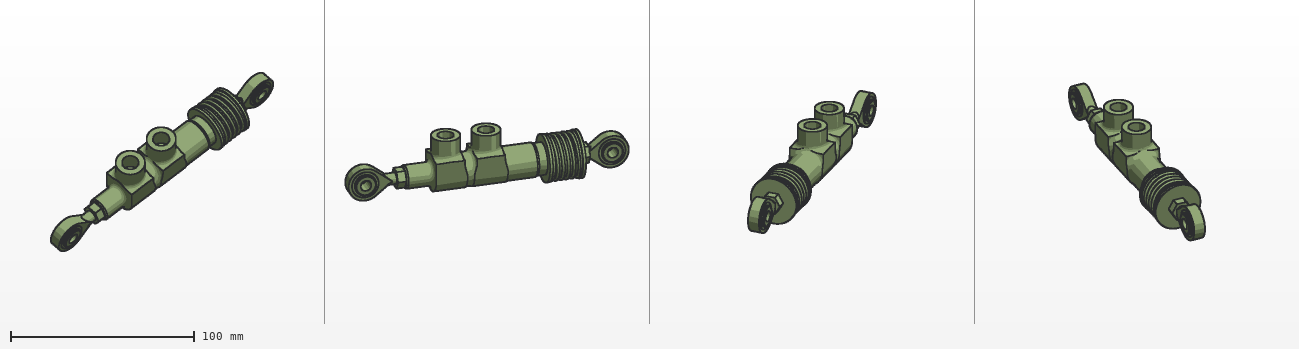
import cadquery as cq
import math


EYE_SPACING = 140.53
EYE_RADIUS = 9.5
EYE_THICKNESS = 6.5
EYE_HOLE_DIAMETER = 6.0
FLANK_HALF_ANGLE = 38.0
BALL_RADIUS = 6.0
BALL_WIDTH = 9.2
BALL_CHAMFER = 0.55
RACE_RADIUS = 7.6
RACE_RECESS = 0.2
SHANK_DIAMETER = 6.5

NUT_ACROSS_FLATS = 10.0
NUT_CORNERS = NUT_ACROSS_FLATS / math.cos(math.radians(30))
NUT_LENGTH = 4.8
FRONT_NUT_START = 17.9
EYE_TO_REAR_NUT = 13.15
REAR_NUT_END = EYE_SPACING - EYE_TO_REAR_NUT

ROD_SEAT_RADIUS = 13.5
HOUSING_SEAT_RADIUS = 13.4
SEAT_THICKNESS = 1.7
ROD_SEAT_END = REAR_NUT_END - NUT_LENGTH
ROD_SEAT_FACE = ROD_SEAT_END - SEAT_THICKNESS
ROD_RADIUS = 5.0
ROD_TIP = 90.0

WIRE_RADIUS = 0.85
END_WIRE_RADIUS = 0.9
COIL_RADIUS = 12.3
COIL_TURNS = 5
SPRING_LENGTH = 17.1
COIL_HEIGHT = SPRING_LENGTH - 2 * END_WIRE_RADIUS
FIRST_COIL_Y = ROD_SEAT_FACE - END_WIRE_RADIUS

SLEEVE_RADIUS = 11.0
SLEEVE_GAP = 3.4
SLEEVE_END = ROD_SEAT_FACE - SLEEVE_GAP
HOUSING_SEAT_FACE = ROD_SEAT_FACE - SPRING_LENGTH
NECK_RADIUS = 9.0
NECK_START = 97.4
BARREL_RADIUS = 9.6
BARREL_CHAMFER = 1.2
BLOCK_HALF_WIDTH = 10.0
BLEND_RADIUS = 3.0
BLEND_MIDPOINT = BLEND_RADIUS * (1 - math.sqrt(0.5))
FRONT_PORT_Y = 46.7
PORT_SPACING = 23.0
PORT_RADIUS = 8.0
PORT_TOP = 22.0
PORT_BORE_DIAMETER = 9.0
PORT_BORE_DEPTH = 10.0
FRONT_FACE_MARGIN = 0.3
FRONT_FACE = FRONT_PORT_Y - PORT_RADIUS - FRONT_FACE_MARGIN
NOSE_RADIUS = 6.6
NOSE_CHAMFER = 1.0
NOSE_END = FRONT_NUT_START + NUT_LENGTH
CLEAR_RADIUS = 30.0

PORT_YS = [FRONT_PORT_Y, FRONT_PORT_Y + PORT_SPACING]


def turned(radius, y_from, y_to):
    """Plain cylinder on the Y axis."""
    return cq.Workplane("XZ", origin=(0, y_to, 0)).circle(radius).extrude(y_to - y_from)


def lock_nut(y_from):
    """Hexagon with corners pointing along X and flats facing up and down."""
    plane = cq.Workplane("XZ", origin=(0, y_from + NUT_LENGTH, 0))
    return plane.polygon(6, NUT_CORNERS).extrude(NUT_LENGTH)


def cross_disc(radius, width):
    """Disc on the X axis, centred on the origin."""
    return cq.Workplane("YZ").circle(radius).extrude(width / 2, both=True)


def rod_eye():
    """Eye at the origin whose tapered flanks meet in a point on the +Y side."""
    flank = math.radians(FLANK_HALF_ANGLE)
    apex_y = EYE_RADIUS / math.sin(flank)
    tangent_y = EYE_RADIUS * math.sin(flank)
    tangent_z = EYE_RADIUS * math.cos(flank)
    eye = (
        cq.Workplane("YZ")
        .moveTo(apex_y, 0)
        .lineTo(tangent_y, tangent_z)
        .threePointArc((-EYE_RADIUS, 0), (tangent_y, -tangent_z))
        .close()
        .extrude(EYE_THICKNESS / 2, both=True)
    )
    race = cross_disc(RACE_RADIUS, EYE_THICKNESS)
    race_core = cross_disc(RACE_RADIUS, EYE_THICKNESS - 2 * RACE_RECESS)
    ball = cross_disc(BALL_RADIUS, BALL_WIDTH).faces("<X or >X").chamfer(BALL_CHAMFER)
    return eye.cut(race).union(race_core).union(ball)


def eye_hole():
    return cross_disc(EYE_HOLE_DIAMETER / 2, 2 * BALL_WIDTH)


def build_push_rod():
    """Rear eye, lock nut, spring seat and the rod that slides in the housing."""
    eye = rod_eye().rotate((0, 0, 0), (0, 0, 1), 180).translate((0, EYE_SPACING, 0))
    rod = turned(ROD_RADIUS, ROD_TIP, ROD_SEAT_FACE)
    seat = turned(ROD_SEAT_RADIUS, ROD_SEAT_FACE, ROD_SEAT_END)
    shank = turned(SHANK_DIAMETER / 2, ROD_SEAT_END, EYE_SPACING - EYE_RADIUS)
    rod = rod.union(seat).union(lock_nut(ROD_SEAT_END)).union(shank).union(eye)
    return rod.cut(eye_hole().translate((0, EYE_SPACING, 0)))


def closed_coil(y):
    """Flat end turn that seats the spring."""
    wire = cq.Workplane("XY").center(COIL_RADIUS, y).circle(END_WIRE_RADIUS)
    return wire.revolve(360, (-COIL_RADIUS, 0, 0), (-COIL_RADIUS, 1, 0))


def build_spring():
    """Round wire coil with closed ends, standing between the two spring seats."""
    path = cq.Wire.makeHelix(COIL_HEIGHT / COIL_TURNS, COIL_HEIGHT, COIL_RADIUS)
    coil = (
        cq.Workplane("XZ", origin=(COIL_RADIUS, 0, 0))
        .circle(WIRE_RADIUS)
        .sweep(cq.Workplane(obj=path), isFrenet=True)
    )
    coil = coil.rotate((0, 0, 0), (1, 0, 0), 90).rotate((0, 0, 0), (0, 1, 0), 90)
    spring = coil.translate((0, FIRST_COIL_Y, 0))
    for y in (FIRST_COIL_Y, FIRST_COIL_Y - COIL_HEIGHT):
        spring = spring.union(closed_coil(y))
    return spring


def turned_envelope():
    """Revolved limit of the housing: barrel, nose and blends, open at the two blocks."""
    blend_top = BARREL_RADIUS + BLEND_RADIUS
    rear_front = PORT_YS[1] - PORT_RADIUS
    rear_back = PORT_YS[1] + PORT_RADIUS
    front_back = PORT_YS[0] + PORT_RADIUS
    nose_blend = NOSE_RADIUS + BLEND_RADIUS

    def blend_middle(face_y, away):
        """Middle of the arc between barrel and block face; `away` points off the block."""
        return (BARREL_RADIUS + BLEND_MIDPOINT, face_y + away * BLEND_MIDPOINT)

    return (
        cq.Workplane("XY")
        .moveTo(0, NOSE_END)
        .lineTo(NOSE_RADIUS - NOSE_CHAMFER / 2, NOSE_END)
        .lineTo(NOSE_RADIUS, NOSE_END + NOSE_CHAMFER)
        .lineTo(NOSE_RADIUS, FRONT_FACE - BLEND_RADIUS)
        .threePointArc((NOSE_RADIUS + BLEND_MIDPOINT, FRONT_FACE - BLEND_MIDPOINT), (nose_blend, FRONT_FACE))
        .lineTo(CLEAR_RADIUS, FRONT_FACE)
        .lineTo(CLEAR_RADIUS, front_back)
        .lineTo(blend_top, front_back)
        .threePointArc(blend_middle(front_back, 1), (BARREL_RADIUS, front_back + BLEND_RADIUS))
        .lineTo(BARREL_RADIUS, rear_front - BLEND_RADIUS)
        .threePointArc(blend_middle(rear_front, -1), (blend_top, rear_front))
        .lineTo(CLEAR_RADIUS, rear_front)
        .lineTo(CLEAR_RADIUS, rear_back)
        .lineTo(blend_top, rear_back)
        .threePointArc(blend_middle(rear_back, 1), (BARREL_RADIUS, rear_back + BLEND_RADIUS))
        .lineTo(BARREL_RADIUS, NECK_START - BARREL_CHAMFER)
        .lineTo(NECK_RADIUS, NECK_START)
        .lineTo(0, NECK_START)
        .close()
        .revolve(360, (0, 0, 0), (0, 1, 0))
    )


def block_bar():
    """Bar with a round underside and a square top, running the length of the blocks."""
    return (
        cq.Workplane("XZ", origin=(0, NECK_START, 0))
        .moveTo(-BLOCK_HALF_WIDTH, 0)
        .threePointArc((0, -BLOCK_HALF_WIDTH), (BLOCK_HALF_WIDTH, 0))
        .lineTo(BLOCK_HALF_WIDTH, BLOCK_HALF_WIDTH)
        .lineTo(-BLOCK_HALF_WIDTH, BLOCK_HALF_WIDTH)
        .close()
        .extrude(NECK_START - NOSE_END)
    )


def port(y):
    """Vertical port boss with a blend where it rises from the block top."""
    root = PORT_RADIUS + BLEND_RADIUS
    boss = (
        cq.Workplane("XZ")
        .moveTo(0, 0)
        .lineTo(PORT_RADIUS, 0)
        .lineTo(PORT_RADIUS, BLOCK_HALF_WIDTH)
        .lineTo(root, BLOCK_HALF_WIDTH)
        .threePointArc(
            (PORT_RADIUS + BLEND_MIDPOINT, BLOCK_HALF_WIDTH + BLEND_MIDPOINT),
            (PORT_RADIUS, BLOCK_HALF_WIDTH + BLEND_RADIUS),
        )
        .lineTo(PORT_RADIUS, PORT_TOP)
        .lineTo(0, PORT_TOP)
        .close()
        .revolve(360, (0, 0, 0), (0, 1, 0))
    )
    width = 2 * BLOCK_HALF_WIDTH
    over_block = cq.Workplane("XY").box(width, 2 * root, PORT_TOP, centered=(True, True, False))
    return boss.intersect(over_block).translate((0, y, 0))


def port_bore(y):
    plane = cq.Workplane("XY", origin=(0, y, PORT_TOP))
    return plane.circle(PORT_BORE_DIAMETER / 2).extrude(-PORT_BORE_DEPTH)


def build_housing():
    """Cylinder with two ports, spring seat and sleeve, and the front eye."""
    bar = block_bar()
    for y in PORT_YS:
        bar = bar.union(port(y))
    housing = bar.intersect(turned_envelope())
    for y in PORT_YS:
        housing = housing.cut(port_bore(y))

    neck = turned(NECK_RADIUS, NECK_START, HOUSING_SEAT_FACE)
    seat = turned(HOUSING_SEAT_RADIUS, HOUSING_SEAT_FACE - SEAT_THICKNESS, HOUSING_SEAT_FACE)
    sleeve = turned(SLEEVE_RADIUS, HOUSING_SEAT_FACE, SLEEVE_END)
    rod_bore = turned(ROD_RADIUS, ROD_TIP, SLEEVE_END)
    housing = housing.union(neck).union(seat).union(sleeve).cut(rod_bore)

    shank = turned(SHANK_DIAMETER / 2, EYE_RADIUS, FRONT_NUT_START)
    housing = housing.union(lock_nut(FRONT_NUT_START)).union(shank).union(rod_eye())
    return housing.cut(eye_hole())


housing = build_housing()
push_rod = build_push_rod()
spring = build_spring()

result = cq.Compound.makeCompound([body.solids().val() for body in (housing, push_rod, spring)])